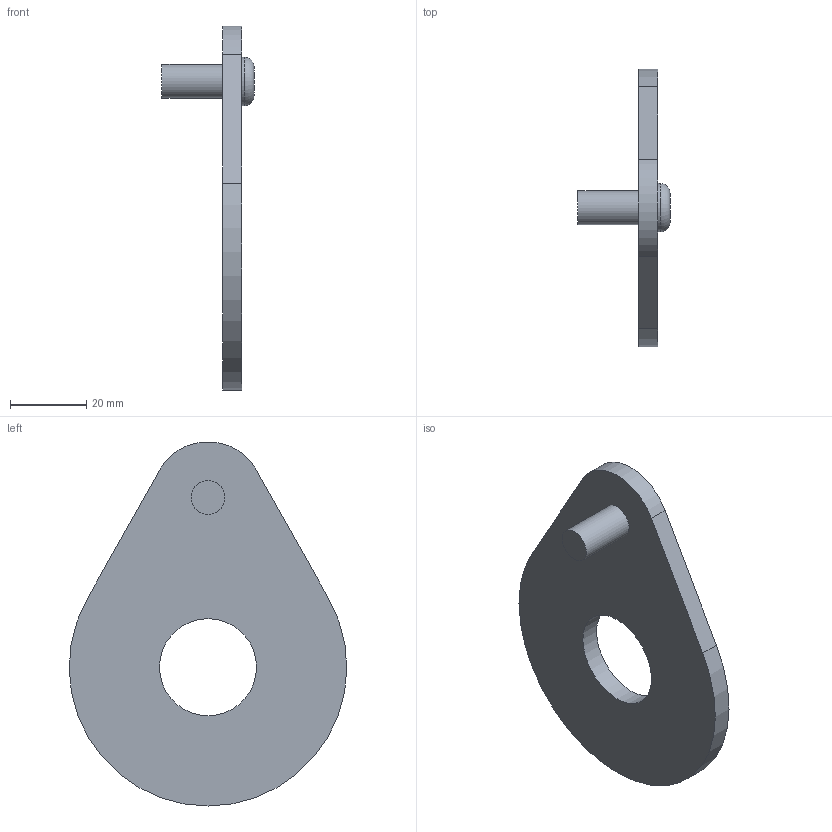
import cadquery as cq
import math

plate_thickness = 5.08
large_radius = 36.35
small_radius = 14.56
hole_diameter = 25.4
pin_height = 44.45

pin_diameter = 8.89
pin_length = 15.875
head_diameter = 12.7
head_height = 3.175
head_fillet = 2.54


def make_plate():
    """Two arcs joined by their outer tangent lines, with the large bore."""
    tangent_angle = math.asin((large_radius - small_radius) / pin_height)
    across = math.cos(tangent_angle)
    along = math.sin(tangent_angle)
    large_y = large_radius * across
    large_z = large_radius * along
    small_y = small_radius * across
    small_z = pin_height + small_radius * along
    return (
        cq.Workplane("YZ")
        .moveTo(large_y, large_z)
        .lineTo(small_y, small_z)
        .threePointArc((0, pin_height + small_radius), (-small_y, small_z))
        .lineTo(-large_y, large_z)
        .threePointArc((0, -large_radius), (large_y, large_z))
        .close()
        .extrude(plate_thickness)
        .faces(">X")
        .workplane(origin=(plate_thickness, 0, 0))
        .hole(hole_diameter)
    )


def make_pin():
    """Plain cylinder running from the back of the plate toward -X."""
    return cq.Workplane("YZ").center(0, pin_height).circle(pin_diameter / 2).extrude(-pin_length)


def make_head():
    """Disc on the front of the plate with a rounded outer rim."""
    return (
        cq.Workplane("YZ", origin=(plate_thickness, 0, pin_height))
        .circle(head_diameter / 2)
        .extrude(head_height)
        .faces(">X")
        .edges()
        .fillet(head_fillet)
    )


result = make_plate().union(make_pin()).union(make_head())